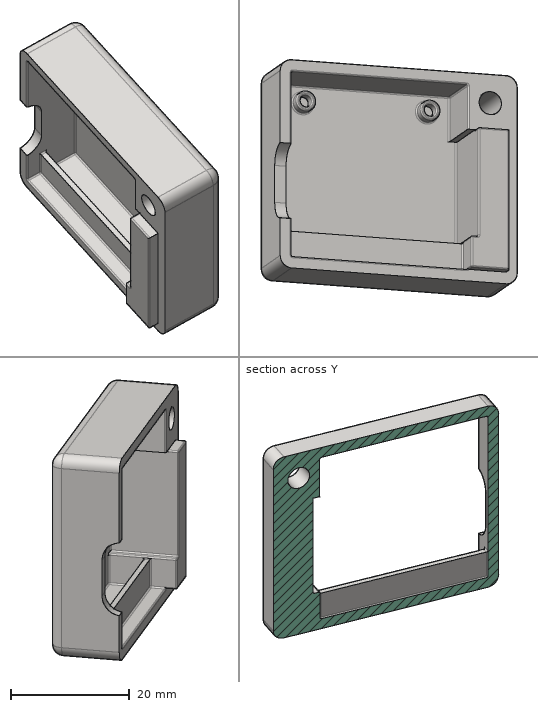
import cadquery as cq
import math

width = 42.0
height = 36.0
depth = 12.0
wall = 2.0
outer_radius = 2.0
edge_radius = 0.25
arc_inset = edge_radius * (1 - math.sqrt(0.5))
floor_y = depth - wall

cavity_left = wall
cavity_right = 33.25
cavity_bottom = wall
cavity_top = height - wall

shelf_front_y = 2.77
shelf_thickness = 1.0
shelf_top = 7.0

pad_height = 1.9
pad_right = width - wall
pad_top = 26.25
notch_right = 34.52
notch_bottom = 7.45

opening_centre_z = 15.05
opening_length = 13.0
opening_depth = 3.0
opening_radius = 3.3

round_row_z = 31.05
post_xs = (7.22, 29.25)
post_diameter = 3.5
post_bore_diameter = 2.0
post_height = 2.0
blind_hole_x = 37.2
blind_hole_diameter = 3.95


def block(x_range, y_range, z_range):
    """Box given by its limits along each axis."""
    limits = (x_range, y_range, z_range)
    size = [high - low for low, high in limits]
    corner = tuple(low for low, high in limits)
    return cq.Workplane("XY").box(*size, centered=False).translate(corner)


def plane_at(y):
    """XZ sketch plane at the given Y; extruding goes towards -Y, out of the case."""
    return cq.Workplane(cq.Plane(origin=(0, y, 0), xDir=(1, 0, 0), normal=(0, -1, 0)))


def make_shell():
    shell = block((0, width), (0, depth), (0, height))
    return shell.edges("|Y or >Y").fillet(outer_radius)


def make_cavity():
    """Main cavity with the shelf left standing; every inside corner is rounded."""
    cavity = block((cavity_left, cavity_right), (0, floor_y), (cavity_bottom, cavity_top))
    shelf = block(
        (cavity_left, cavity_right),
        (shelf_front_y, shelf_front_y + shelf_thickness),
        (cavity_bottom, shelf_top),
    )
    cavity = cavity.cut(shelf)
    middle = (cavity_left + cavity_right) / 2
    margin = 0.4
    shelf_top_edges = cq.selectors.BoxSelector(
        (middle - margin, shelf_front_y - margin, shelf_top - margin),
        (middle + margin, shelf_front_y + shelf_thickness + margin, shelf_top + margin),
    )
    inside = cavity.edges("not <Y").edges(cq.selectors.InverseSelector(shelf_top_edges))
    return inside.fillet(edge_radius)


def make_notch():
    """Sideways extension of the cavity; the lower corner of its mouth is flared by an arc."""
    mouth = cavity_right - edge_radius
    notch = (
        plane_at(floor_y)
        .moveTo(mouth, pad_top)
        .lineTo(notch_right, pad_top)
        .lineTo(notch_right, notch_bottom)
        .lineTo(cavity_right + edge_radius, notch_bottom)
        .threePointArc(
            (cavity_right + arc_inset, notch_bottom - arc_inset),
            (cavity_right, notch_bottom - edge_radius),
        )
        .lineTo(mouth, notch_bottom - edge_radius)
        .close()
        .extrude(floor_y)
    )
    far_edges = notch.faces(">X").edges("(|Y and <Z) or (|Z and >Y)")
    return far_edges.fillet(edge_radius)


def make_pad():
    """L-shaped pad, rounded at its left corners and around its front face."""
    outline = [
        (cavity_right, wall),
        (pad_right, wall),
        (pad_right, pad_top),
        (notch_right, pad_top),
        (notch_right, notch_bottom),
        (cavity_right, notch_bottom),
    ]
    root_y = edge_radius
    pad = plane_at(root_y).polyline(outline).close().extrude(pad_height + root_y)
    pad = pad.edges("|Y").edges("not >X").fillet(edge_radius)
    return pad.faces("<Y").edges().fillet(edge_radius)


def make_opening():
    """Slot through the left wall: a flat bottom between two arcs that rise to the rim."""
    half_length = opening_length / 2
    flat_half = half_length - opening_radius
    centre_y = opening_depth - opening_radius
    reach = math.sqrt(opening_radius**2 - centre_y**2)
    diagonal = opening_radius * math.sqrt(0.5)
    return (
        cq.Workplane("YZ", origin=(0, 0, opening_centre_z))
        .moveTo(0, -flat_half - reach)
        .threePointArc((centre_y + diagonal, -flat_half - diagonal), (opening_depth, -flat_half))
        .lineTo(opening_depth, flat_half)
        .threePointArc((centre_y + diagonal, flat_half + diagonal), (0, flat_half + reach))
        .close()
        .extrude(wall + edge_radius)
    )


def make_post(x):
    """Hollow post on the cavity floor: flared foot, rounded outer and bore edges at its tip."""
    outer = post_diameter / 2
    bore = post_bore_diameter / 2
    tip = post_height
    profile = (
        cq.Workplane("XY")
        .moveTo(bore, 0)
        .lineTo(outer + edge_radius, 0)
        .threePointArc((outer + arc_inset, arc_inset), (outer, edge_radius))
        .lineTo(outer, tip - edge_radius)
        .threePointArc((outer - arc_inset, tip - arc_inset), (outer - edge_radius, tip))
        .lineTo(bore + edge_radius, tip)
        .threePointArc((bore + arc_inset, tip - arc_inset), (bore, tip - edge_radius))
        .close()
    )
    post = profile.revolve(360, (0, 0, 0), (0, 1, 0))
    return post.rotate((0, 0, 0), (1, 0, 0), 180).translate((x, floor_y, round_row_z))


result = make_shell().cut(make_cavity())
mouth_edges = result.faces("<Y").val().innerWires()[0].Edges()
result = result.newObject(mouth_edges).fillet(edge_radius)

result = result.union(make_pad()).cut(make_notch()).cut(make_opening())

for post_x in post_xs:
    result = result.union(make_post(post_x))

blind_hole = plane_at(floor_y).center(blind_hole_x, round_row_z).circle(blind_hole_diameter / 2)
result = result.cut(blind_hole.extrude(floor_y))